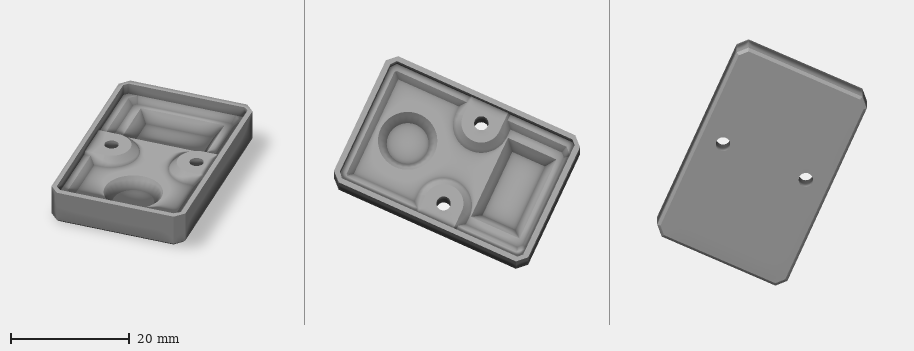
import cadquery as cq
import math

WIDTH = 24.0
LENGTH = 36.0
HEIGHT = 6.0
CORNER_X = 1.5
CORNER_Y = 1.6
BOTTOM_CHAMFER = 0.5

POCKET_Z = 1.0
FLOOR_Z = 3.0
LEDGE_Z = 4.0
BOSS_TOP_Z = 4.43

SIDE_WALL = 0.85
END_WALL = 0.97
OPENING_HALF_WIDTH = WIDTH / 2 - SIDE_WALL
OPENING_HALF_LENGTH = LENGTH / 2 - END_WALL
OPENING_BACK_CORNER = 0.72
OPENING_FRONT_CORNER_X = 0.97
OPENING_FRONT_CORNER_Y = 0.8

FLOOR_HALF_WIDTH = 9.0
FLOOR_BACK_Y = 16.0
FLOOR_FRONT_Y = -15.0
RECESS_SLOPE = LEDGE_Z - FLOOR_Z
RECESS_BACK_CORNER = 1.25
RECESS_FRONT_CORNER = 0.3

POCKET_WIDTH = 15.0
POCKET_LENGTH = 9.0
POCKET_BACK_Y = 15.0
DISH_Y = -9.15
DISH_RADIUS = 5.0
SUNK_INSET = 1.48

BOSS_X = 7.65
BOSS_Y = 1.0
BOSS_BASE_RADIUS = 4.8
BOSS_TOP_RADIUS = 3.35
HOLE_DIAMETER = 2.4


def clipped_outline(half_width, front, back, front_corner, back_corner):
    """Rectangle symmetric about X = 0 whose corners are cut off by (x, y) legs."""
    front_x, front_y = front_corner
    back_x, back_y = back_corner
    right_side = [
        (half_width - front_x, front),
        (half_width, front + front_y),
        (half_width, back - back_y),
        (half_width - back_x, back),
    ]
    left_side = [(-x, y) for x, y in reversed(right_side)]
    return right_side + left_side


def make_body():
    corner = (CORNER_X, CORNER_Y)
    outline = clipped_outline(WIDTH / 2, -LENGTH / 2, LENGTH / 2, corner, corner)
    block = cq.Workplane("XY").polyline(outline).close().extrude(HEIGHT)
    return block.faces("<Z").edges().chamfer(BOTTOM_CHAMFER)


def make_opening():
    outline = clipped_outline(
        OPENING_HALF_WIDTH,
        -OPENING_HALF_LENGTH,
        OPENING_HALF_LENGTH,
        (OPENING_FRONT_CORNER_X, OPENING_FRONT_CORNER_Y),
        (OPENING_BACK_CORNER, OPENING_BACK_CORNER),
    )
    base = cq.Workplane("XY").workplane(offset=LEDGE_Z)
    return base.polyline(outline).close().extrude(HEIGHT - LEDGE_Z)


def make_recess():
    depth = LEDGE_Z - FLOOR_Z
    outline = clipped_outline(
        FLOOR_HALF_WIDTH + RECESS_SLOPE,
        FLOOR_FRONT_Y - RECESS_SLOPE,
        FLOOR_BACK_Y + RECESS_SLOPE,
        (RECESS_FRONT_CORNER, RECESS_FRONT_CORNER),
        (RECESS_BACK_CORNER, RECESS_BACK_CORNER),
    )
    taper = math.degrees(math.atan2(RECESS_SLOPE, depth))
    top = cq.Workplane("XY").workplane(offset=LEDGE_Z)
    return top.polyline(outline).close().extrude(-depth, taper=taper)


def make_pocket():
    return (
        cq.Workplane("XY", origin=(0, POCKET_BACK_Y - POCKET_LENGTH / 2, POCKET_Z))
        .rect(POCKET_WIDTH - 2 * SUNK_INSET, POCKET_LENGTH - 2 * SUNK_INSET)
        .workplane(offset=FLOOR_Z - POCKET_Z)
        .rect(POCKET_WIDTH, POCKET_LENGTH)
        .loft(ruled=True)
    )


def make_cone(x, y, low_z, high_z, low_radius, high_radius):
    """Upright truncated cone between two heights."""
    cone = cq.Solid.makeCone(low_radius, high_radius, high_z - low_z)
    return cq.Workplane("XY").add(cone).translate((x, y, low_z))


def make_dish():
    floor_radius = DISH_RADIUS - SUNK_INSET
    return make_cone(0, DISH_Y, POCKET_Z, FLOOR_Z, floor_radius, DISH_RADIUS)


def make_boss(side):
    """Cone around the screw hole, carried on as a sloped rib into the side wall."""
    cone = make_cone(side * BOSS_X, BOSS_Y, FLOOR_Z, BOSS_TOP_Z, BOSS_BASE_RADIUS, BOSS_TOP_RADIUS)
    section = [
        (BOSS_Y - BOSS_BASE_RADIUS, FLOOR_Z),
        (BOSS_Y + BOSS_BASE_RADIUS, FLOOR_Z),
        (BOSS_Y + BOSS_TOP_RADIUS, BOSS_TOP_Z),
        (BOSS_Y - BOSS_TOP_RADIUS, BOSS_TOP_Z),
    ]
    rib_length = OPENING_HALF_WIDTH + SIDE_WALL / 2 - BOSS_X
    rib = (
        cq.Workplane("YZ", origin=(side * BOSS_X, 0, 0))
        .polyline(section)
        .close()
        .extrude(side * rib_length)
    )
    return cone.union(rib)


def make_holes():
    """Screw holes running right through both bosses and the base."""
    centres = [(-BOSS_X, BOSS_Y), (BOSS_X, BOSS_Y)]
    return cq.Workplane("XY").pushPoints(centres).circle(HOLE_DIAMETER / 2).extrude(HEIGHT)


body = make_body()
result = body.cut(make_opening()).cut(make_recess())

for boss_side in (-1, 1):
    result = result.union(make_boss(boss_side).intersect(body))

result = result.cut(make_pocket()).cut(make_dish()).cut(make_holes())